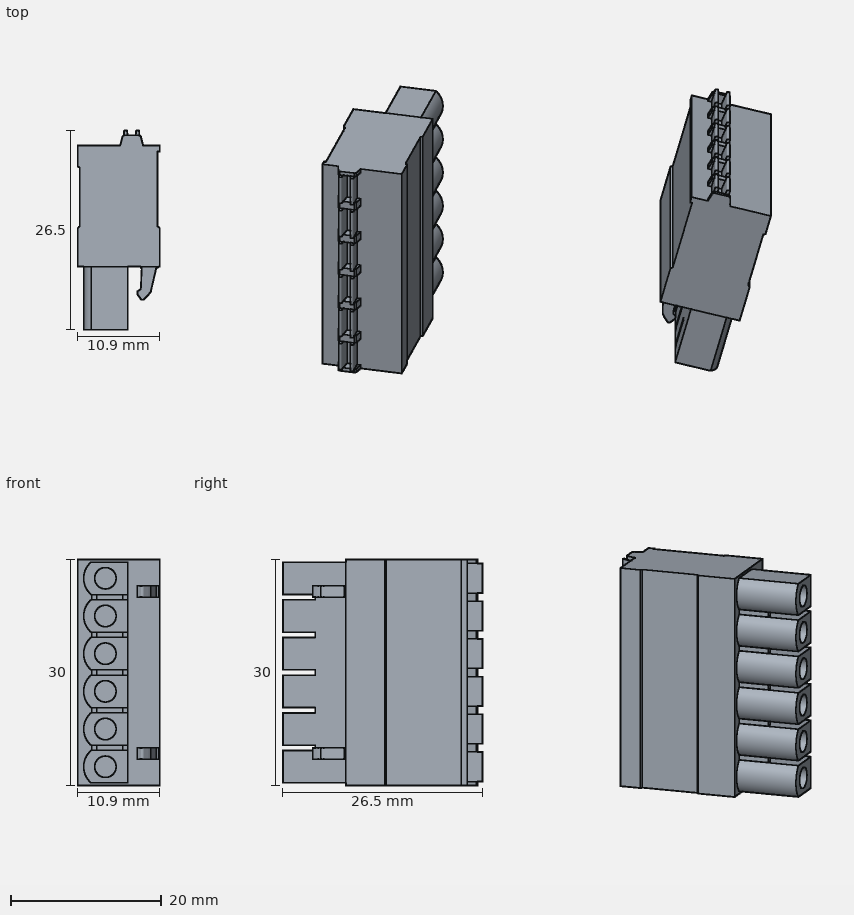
import cadquery as cq


way_count = 6
height = 30.0
pitch = height / way_count
housing_width = 10.9
housing_depth = 16.1
recess_depth = 0.27
recess_front = 5.13
recess_ramp = 0.25
left_recess_rear = 13.3
left_recess_rear_ramp = 0.15
right_recess_rear = 15.27

sleeve_length = 8.37
sleeve_height = 4.32
sleeve_axis_x = -1.77
sleeve_nose_radius = 2.88
sleeve_right_x = 1.2
entry_hole_diameter = 2.85
entry_hole_depth = 1.25

bridge_length = 4.1
bridge_wall = 0.7
bridge_left_x = -3.6

contact_x = 1.7
partition_base_half = 1.53
partition_shoulder_half = 1.23
partition_top_half = 1.02
partition_length = 1.35
partition_chamfer = 0.18
prong_half_span = 1.02
prong_length = 2.0
prong_height = 3.93
prong_base_width = 0.65
prong_tip_width = 0.45

latch_thickness = 1.5
latch_offset_z = 10.75
latch_length = 4.4
latch_root_left_x = 2.88
latch_root_right_x = 5.3
latch_left_flare = 0.15
latch_left_flare_length = 0.27
latch_right_flare = 0.33
latch_right_flare_length = 0.2
latch_neck_x = 2.9
latch_neck_length = 2.97
latch_catch_x = 2.45
latch_catch_start = 3.27
latch_catch_end = 3.65
latch_tip_x = 3.12
latch_tip_half = 0.25
latch_tip_left_length = 4.23
latch_tip_right_length = 4.32
latch_ramp_x = 3.93
latch_ramp_length = 3.75
latch_back_x = 4.25
latch_back_length = 3.33

embed = 0.3

way_heights = [(i - (way_count - 1) / 2) * pitch for i in range(way_count)]
gap_heights = [z + pitch / 2 for z in way_heights[:-1]]


def slab(outline, center_z, thickness):
    """Extrude a closed outline drawn in X and Y, centred on center_z."""
    return outline.extrude(thickness).translate((0, 0, center_z - thickness / 2))


def box_between(x0, x1, y0, y1, center_z, thickness):
    """Box spanning the given X and Y limits, centred on center_z."""
    outline = cq.Workplane("XY").center((x0 + x1) / 2, (y0 + y1) / 2).rect(x1 - x0, y1 - y0)
    return slab(outline, center_z, thickness)


def make_housing():
    """Block with a shallow recess in each side wall, over the full height."""
    outer = housing_width / 2
    inner = outer - recess_depth
    ramp_end = recess_front + recess_ramp
    outline = cq.Workplane("XY").polyline([
        (-outer, 0),
        (outer, 0),
        (outer, recess_front),
        (inner, ramp_end),
        (inner, right_recess_rear),
        (outer, right_recess_rear),
        (outer, housing_depth),
        (-outer, housing_depth),
        (-outer, left_recess_rear),
        (-inner, left_recess_rear - left_recess_rear_ramp),
        (-inner, ramp_end),
        (-outer, recess_front),
    ]).close()
    return slab(outline, 0, height)


def make_sleeve(z):
    """Flat-sided sleeve with a rounded nose toward -X and a blind entry hole."""
    half = sleeve_height / 2
    nose_start_x = sleeve_axis_x - (sleeve_nose_radius**2 - half**2) ** 0.5
    sleeve = (
        cq.Workplane("XZ", origin=(0, embed, z))
        .moveTo(sleeve_right_x, -half)
        .lineTo(sleeve_right_x, half)
        .lineTo(nose_start_x, half)
        .threePointArc((sleeve_axis_x - sleeve_nose_radius, 0), (nose_start_x, -half))
        .close()
        .extrude(sleeve_length + embed)
    )
    hole = (
        cq.Workplane("XZ", origin=(sleeve_axis_x, -sleeve_length + entry_hole_depth, z))
        .circle(entry_hole_diameter / 2)
        .extrude(entry_hole_depth)
    )
    return sleeve.cut(hole)


def make_bridge(z):
    """Two parallel walls, open between them, across the gap between two sleeves."""
    gap = pitch - sleeve_height
    left_end_x = bridge_left_x + bridge_wall
    right_start_x = sleeve_right_x - bridge_wall
    left = box_between(bridge_left_x, left_end_x, -bridge_length, embed, z, gap)
    right = box_between(right_start_x, sleeve_right_x, -bridge_length, embed, z, gap)
    return left.union(right)


def make_partition(center_z, thickness):
    """Tapered rib with chamfered corners on the rear face."""
    top = housing_depth + partition_length
    shoulder = top - partition_chamfer
    outline = cq.Workplane("XY").center(contact_x, 0).polyline([
        (-partition_base_half, housing_depth - embed),
        (partition_base_half, housing_depth - embed),
        (partition_base_half, housing_depth),
        (partition_shoulder_half, shoulder),
        (partition_top_half, top),
        (-partition_top_half, top),
        (-partition_shoulder_half, shoulder),
        (-partition_base_half, housing_depth),
    ]).close()
    return slab(outline, center_z, thickness)


def make_prong(z, side):
    """Contact prong, straight outside and tapered inside, with a round tip."""
    outer = contact_x + side * prong_half_span
    tip_inner = outer - side * prong_tip_width
    base_inner = outer - side * prong_base_width
    tip_y = housing_depth + prong_length
    round_y = tip_y - prong_tip_width / 2
    outline = (
        cq.Workplane("XY")
        .moveTo(outer, housing_depth - embed)
        .lineTo(outer, round_y)
        .threePointArc(((outer + tip_inner) / 2, tip_y), (tip_inner, round_y))
        .lineTo(base_inner, housing_depth)
        .lineTo(base_inner, housing_depth - embed)
        .close()
    )
    return slab(outline, z, prong_height)


def make_latch(z):
    """Forward-reaching hook with a rounded nose and a back that slopes to the tip."""
    outline = (
        cq.Workplane("XY")
        .moveTo(latch_root_left_x, embed)
        .lineTo(latch_root_left_x, 0)
        .lineTo(latch_root_left_x + latch_left_flare, -latch_left_flare_length)
        .lineTo(latch_neck_x, -latch_neck_length)
        .lineTo(latch_catch_x, -latch_catch_start)
        .lineTo(latch_catch_x, -latch_catch_end)
        .lineTo(latch_tip_x - latch_tip_half, -latch_tip_left_length)
        .threePointArc((latch_tip_x, -latch_length), (latch_tip_x + latch_tip_half, -latch_tip_right_length))
        .lineTo(latch_ramp_x, -latch_ramp_length)
        .lineTo(latch_back_x, -latch_back_length)
        .lineTo(latch_root_right_x - latch_right_flare, -latch_right_flare_length)
        .lineTo(latch_root_right_x, 0)
        .lineTo(latch_root_right_x, embed)
        .close()
    )
    return slab(outline, z, latch_thickness)


result = make_housing()

for way_z in way_heights:
    result = result.union(make_sleeve(way_z))
    for prong_side in (-1, 1):
        result = result.union(make_prong(way_z, prong_side))

partition_gap = pitch - prong_height
for gap_z in gap_heights:
    result = result.union(make_bridge(gap_z))
    result = result.union(make_partition(gap_z, partition_gap))

for end in (-1, 1):
    end_partition_z = end * (height / 2 - partition_gap / 4)
    result = result.union(make_partition(end_partition_z, partition_gap / 2))
    result = result.union(make_latch(end * latch_offset_z))